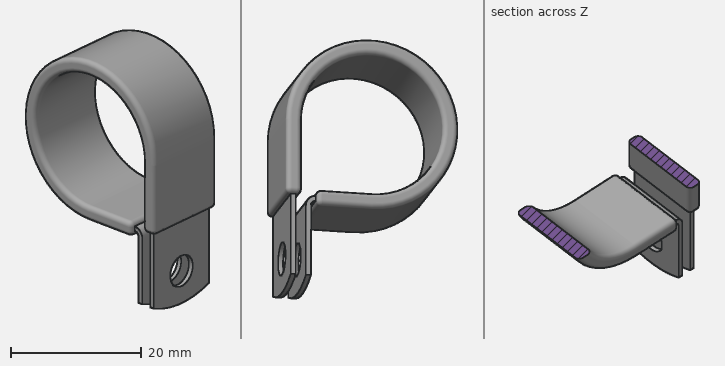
import cadquery as cq
import math


clamp_bore_radius = 11.1125
sheet_thickness = 0.8
cushion_width = 14.29
side_leg_length = 11.85
bottom_leg_length = 8.75
lug_gap = 1.6
lug_tip_drop = 25.96
lug_tip_rise = 1.28
bolt_hole_diameter = 5.16
bolt_hole_drop = 20.45

cushion_outer_radius = clamp_bore_radius + 3 * sheet_thickness
cushion_edge_radius = sheet_thickness
strap_width = cushion_width - 2 * sheet_thickness
strap_inner_radius = clamp_bore_radius + sheet_thickness
strap_outer_radius = strap_inner_radius + sheet_thickness
bend_inner_radius = sheet_thickness
bend_outer_radius = bend_inner_radius + sheet_thickness
inner_lug_outer_x = strap_inner_radius - lug_gap
inner_lug_inner_x = inner_lug_outer_x - sheet_thickness
bend_start_x = inner_lug_outer_x - bend_outer_radius
bend_centre_z = -strap_inner_radius - bend_outer_radius


def point_at(centre_x, centre_z, radius, degrees):
    """Point on a circle in the XZ plane, with the angle measured from +X towards +Z."""
    angle = math.radians(degrees)
    return (centre_x + radius * math.cos(angle), centre_z + radius * math.sin(angle))


def extrude_across_width(profile, width):
    """Extrude a closed XZ profile symmetrically about Y = 0."""
    return profile.close().extrude(width / 2, both=True)


def make_cushion():
    """Three-quarter ring with two straight legs, rounded on every outside edge."""
    loop_middle = 135
    profile = (
        cq.Workplane("XZ")
        .moveTo(cushion_outer_radius, -side_leg_length)
        .lineTo(cushion_outer_radius, 0)
        .threePointArc(point_at(0, 0, cushion_outer_radius, loop_middle), (0, -cushion_outer_radius))
        .lineTo(bottom_leg_length, -cushion_outer_radius)
        .lineTo(bottom_leg_length, -clamp_bore_radius)
        .lineTo(0, -clamp_bore_radius)
        .threePointArc(point_at(0, 0, clamp_bore_radius, loop_middle), (clamp_bore_radius, 0))
        .lineTo(clamp_bore_radius, -side_leg_length)
    )
    return extrude_across_width(profile, cushion_width).edges().fillet(cushion_edge_radius)


def make_outer_lug():
    """Strap end that runs straight down out of the side leg."""
    profile = (
        cq.Workplane("XZ")
        .moveTo(strap_inner_radius, 0)
        .lineTo(strap_outer_radius, 0)
        .lineTo(strap_outer_radius, -lug_tip_drop)
        .lineTo(strap_inner_radius, -lug_tip_drop)
    )
    return extrude_across_width(profile, strap_width)


def make_inner_lug():
    """Strap end that leaves the bottom leg along +X and bends down beside the outer lug."""
    bend_middle = 45
    outer_bend_mid = point_at(bend_start_x, bend_centre_z, bend_outer_radius, bend_middle)
    inner_bend_mid = point_at(bend_start_x, bend_centre_z, bend_inner_radius, bend_middle)
    profile = (
        cq.Workplane("XZ")
        .moveTo(0, -strap_inner_radius)
        .lineTo(bend_start_x, -strap_inner_radius)
        .threePointArc(outer_bend_mid, (inner_lug_outer_x, bend_centre_z))
        .lineTo(inner_lug_outer_x, -lug_tip_drop)
        .lineTo(inner_lug_inner_x, -lug_tip_drop)
        .lineTo(inner_lug_inner_x, bend_centre_z)
        .threePointArc(inner_bend_mid, (bend_start_x, -strap_outer_radius))
        .lineTo(0, -strap_outer_radius)
    )
    return extrude_across_width(profile, strap_width)


def make_lug_outline():
    """Block along X with the lug outline: straight sides, an arched lower end and the bolt hole."""
    half_width = strap_width / 2
    corner_z = -lug_tip_drop + lug_tip_rise
    outline = (
        cq.Workplane("YZ")
        .moveTo(-half_width, 0)
        .lineTo(-half_width, corner_z)
        .threePointArc((0, -lug_tip_drop), (half_width, corner_z))
        .lineTo(half_width, 0)
        .close()
        .extrude(cushion_outer_radius)
    )
    bolt_hole = (
        cq.Workplane("YZ")
        .center(0, -bolt_hole_drop)
        .circle(bolt_hole_diameter / 2)
        .extrude(cushion_outer_radius)
    )
    return outline.cut(bolt_hole)


lugs = make_outer_lug().union(make_inner_lug()).intersect(make_lug_outline())
result = make_cushion().union(lugs)